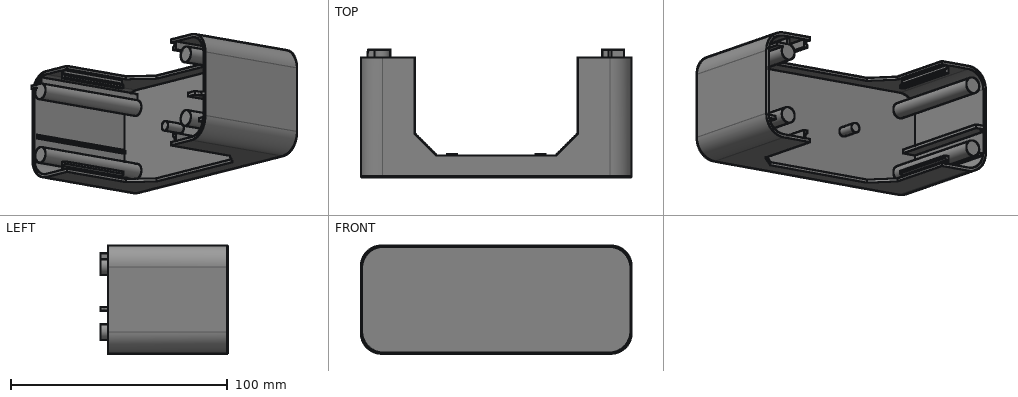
import cadquery as cq

length = 125.0
height = 50.0
shell_depth = 55.5
corner_radius = 10.0
wall = 1.5
front_chamfer = 0.6

leg_width = 25.0
notch_floor = 10.2
notch_chamfer = 10.0

back_end = 59.0
post_diameter = 7.4
post_inset = 10.0

gusset_thickness = 1.5
gusset_clearance = 3.5

side_setback = 1.5

post_rib_thickness = 1.5

ridge_bottom = 19.9
ridge_height = 1.8
ridge_projection = 0.8
tongue_inset = 3.0
tongue_width = 5.2
tongue_taper = 0.5
tongue_taper_length = 1.8

lip_inset = 1.6
lip_drop = 3.8
lip_width = 2.0
bead_projection = 1.0
bead_edge = 1.1

peg_diameter = 4.5
peg_spacing = 40.8
peg_end = notch_floor + 0.8

middle_x = length / 2
middle_z = height / 2


def box(x_start, x_end, y_start, y_end, z_start, z_end):
    """Box between two opposite corners."""
    size = (x_end - x_start, y_end - y_start, z_end - z_start)
    return cq.Workplane("XY").box(*size, centered=False).translate((x_start, y_start, z_start))


def rod(x, z, diameter, y_end):
    """Round rod rooted in the front wall and running back to y_end."""
    start = wall / 2
    plane = cq.Plane(origin=(x, start, z), xDir=(0, 0, 1), normal=(0, 1, 0))
    return cq.Workplane(plane).circle(diameter / 2).extrude(y_end - start)


def rail(points, y_start, y_end):
    """XZ profile swept straight along Y."""
    return cq.Workplane("XZ", origin=(0, y_start, 0)).polyline(points).close().extrude(y_start - y_end)


def mirror_x(body):
    """Copy of a body on the other leg."""
    return body.mirror("YZ", (middle_x, 0, 0))


def mirror_z(body):
    """Copy of a body on the opposite plate."""
    return body.mirror("XY", (0, 0, middle_z))


def make_shell():
    outer = box(0, length, 0, shell_depth, 0, height)
    outer = outer.edges("|Y").fillet(corner_radius).faces("<Y").chamfer(front_chamfer)
    cavity = box(wall, length - wall, wall, shell_depth, wall, height - wall)
    cavity = cavity.edges("|Y").fillet(corner_radius - wall)
    notch = box(leg_width, length - leg_width, notch_floor, shell_depth, 0, height)
    notch = notch.faces("<Y").edges("|Z").chamfer(notch_chamfer)
    return outer.cut(cavity).cut(notch)


def make_lip():
    """Lip under the upper plate of the left leg, with a sloping bead facing the notch."""
    tip = leg_width - lip_inset
    root = tip - bead_projection
    back = tip - lip_width
    plate = height - wall
    bottom = plate - lip_drop
    points = [
        (back, plate),
        (root, plate),
        (root, bottom + bead_edge + bead_projection),
        (tip, bottom + bead_edge),
        (tip, bottom),
        (back, bottom),
    ]
    return rail(points, notch_floor + notch_chamfer, shell_depth)


def make_ridge():
    """Ridge along the left side wall with a sloping top."""
    points = [
        (wall / 2, ridge_bottom),
        (wall + ridge_projection, ridge_bottom),
        (wall + ridge_projection, ridge_bottom + ridge_height / 2),
        (wall, ridge_bottom + ridge_height),
        (wall / 2, ridge_bottom + ridge_height),
    ]
    return rail(points, wall / 2, shell_depth - side_setback)


def make_tongue():
    """Flat tongue joined to the left wall, stepping clear of it behind the shell and tapered at its tip."""
    ridge_top = ridge_bottom + ridge_height
    tongue_end = tongue_inset + tongue_width
    root = box(wall / 2, tongue_end, wall / 2, shell_depth, ridge_bottom, ridge_top)
    outline = [
        (tongue_inset, wall / 2),
        (tongue_end, wall / 2),
        (tongue_end, back_end),
        (tongue_inset + tongue_taper, back_end),
        (tongue_inset, back_end - tongue_taper_length),
    ]
    tip = cq.Workplane("XY", origin=(0, 0, ridge_bottom)).polyline(outline).close().extrude(ridge_height)
    return root.union(tip)


def make_post_rib():
    """Flat rib from the lower left post to the side wall, its top level with the post axis."""
    bottom = post_inset - post_rib_thickness
    return box(wall / 2, post_inset, wall / 2, shell_depth - side_setback, bottom, post_inset)


def make_gussets():
    """Upright and flat gussets on the upper right post."""
    x = length - post_inset
    z = height - post_inset
    half = gusset_thickness / 2
    post_top = z + post_diameter / 2
    upright = box(x - half, x + half, wall / 2, back_end, z, height - gusset_clearance)
    flat_end = length - gusset_clearance
    flat = box(x, flat_end, wall / 2, back_end, post_top - gusset_thickness, post_top)
    return upright.union(flat)


result = make_shell()

for post_x in (post_inset, length - post_inset):
    for post_z in (post_inset, height - post_inset):
        result = result.union(rod(post_x, post_z, post_diameter, back_end))

for peg_x in (middle_x - peg_spacing / 2, middle_x + peg_spacing / 2):
    result = result.union(rod(peg_x, middle_z, peg_diameter, peg_end))

lip = make_lip()
for leg_lip in (lip, mirror_x(lip)):
    result = result.union(leg_lip).union(mirror_z(leg_lip))

for side_detail in (make_ridge(), make_post_rib()):
    result = result.union(side_detail).union(mirror_x(side_detail))

result = result.union(make_tongue()).union(make_gussets())